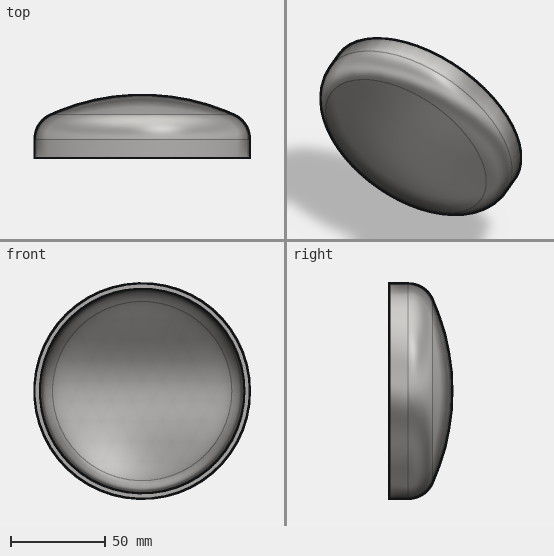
import cadquery as cq
import math

outer_diameter = 114.3
inner_diameter = 108.4
skirt_length = 10.0
crown_radius = outer_diameter
knuckle_radius = outer_diameter / 10

wall = (outer_diameter - inner_diameter) / 2
outer_crown_radius = crown_radius + wall
outer_knuckle_radius = knuckle_radius + wall
knuckle_offset = inner_diameter / 2 - knuckle_radius

centre_distance = crown_radius - knuckle_radius
crown_half_angle = math.asin(knuckle_offset / centre_distance)
knuckle_mid_angle = (crown_half_angle + math.pi / 2) / 2
crown_centre_y = skirt_length - centre_distance * math.cos(crown_half_angle)

axis_start = (0, 0, 0)
axis_end = (0, 1, 0)


def knuckle_point(radius, angle):
    """Point on the knuckle arc at an angle measured from +Y towards +X."""
    return (knuckle_offset + radius * math.sin(angle), skirt_length + radius * math.cos(angle))


def skirt_and_knuckle():
    """Wall from the rim up to the conical joint where the crown begins."""
    return (
        cq.Workplane("XY")
        .moveTo(inner_diameter / 2, 0)
        .lineTo(outer_diameter / 2, 0)
        .lineTo(outer_diameter / 2, skirt_length)
        .threePointArc(
            knuckle_point(outer_knuckle_radius, knuckle_mid_angle),
            knuckle_point(outer_knuckle_radius, crown_half_angle),
        )
        .lineTo(*knuckle_point(knuckle_radius, crown_half_angle))
        .threePointArc(
            knuckle_point(knuckle_radius, knuckle_mid_angle),
            (inner_diameter / 2, skirt_length),
        )
        .close()
        .revolve(360, axis_start, axis_end)
    )


def crown():
    """Spherical wall kept inside a cone whose tip is the crown centre."""
    cone_height = 2 * outer_crown_radius
    cone_radius = cone_height * math.tan(crown_half_angle)
    cone = (
        cq.Workplane("XY")
        .lineTo(cone_radius, cone_height)
        .lineTo(0, cone_height)
        .close()
        .revolve(360, axis_start, axis_end)
    )
    outer_sphere = cq.Workplane("XY").sphere(outer_crown_radius)
    inner_sphere = cq.Workplane("XY").sphere(crown_radius)
    cap = cone.intersect(outer_sphere).cut(inner_sphere)
    return cap.translate((0, crown_centre_y, 0))


result = skirt_and_knuckle().union(crown())